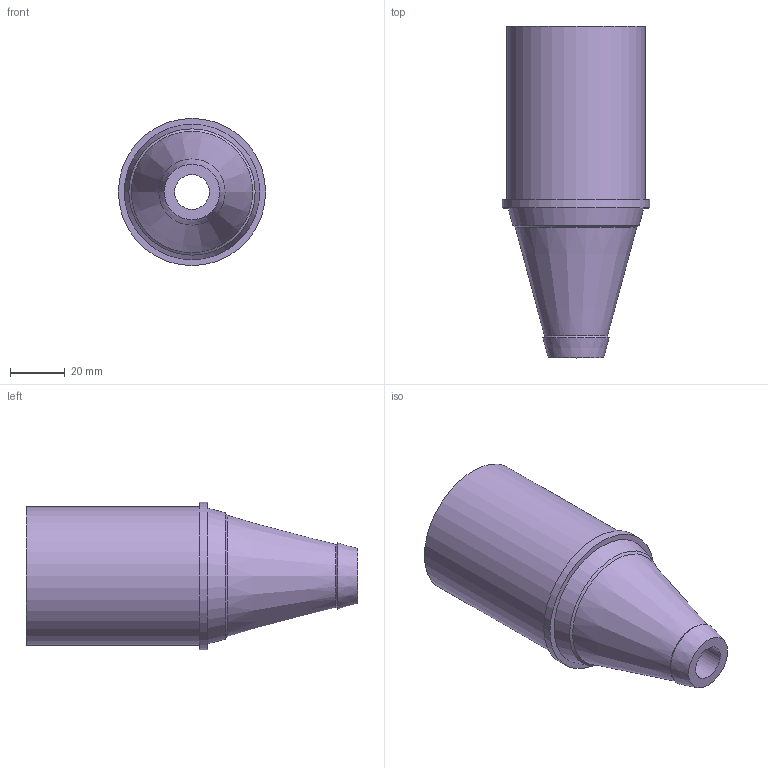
import cadquery as cq
import math

total_length = 121.66

body_radius = 50.8 / 2
body_length = 63.5
collar_radius = 53.975 / 2
collar_width = 3.175

taper = math.tan(math.radians(15))
skirt_front_radius = 23.15
skirt_length = 6.35
cone_back_radius = 22.25
nose_tip_radius = 10.16
nose_length = 7.35
step_length = 0.7

bore_radius = 12.7 / 2

collar_back = -body_length
collar_front = collar_back - collar_width
skirt_front = collar_front - skirt_length
cone_back = skirt_front - step_length
tip = -total_length
nose_back = tip + nose_length
cone_front = nose_back + step_length

skirt_back_radius = skirt_front_radius + skirt_length * taper
cone_front_radius = cone_back_radius - (cone_back - cone_front) * taper
nose_back_radius = nose_tip_radius + nose_length * taper


def make_turned_part():
    """Revolve the half section, from the bore wall outwards, about the Y axis."""
    half_section = (
        cq.Workplane("XY")
        .moveTo(bore_radius, 0)
        .lineTo(body_radius, 0)
        .lineTo(body_radius, collar_back)
        .lineTo(collar_radius, collar_back)
        .lineTo(collar_radius, collar_front)
        .lineTo(skirt_back_radius, collar_front)
        .lineTo(skirt_front_radius, skirt_front)
        .lineTo(cone_back_radius, cone_back)
        .lineTo(cone_front_radius, cone_front)
        .lineTo(nose_back_radius, nose_back)
        .lineTo(nose_tip_radius, tip)
        .lineTo(bore_radius, tip)
        .close()
    )
    return half_section.revolve(360, (0, 0, 0), (0, 1, 0))


result = make_turned_part()